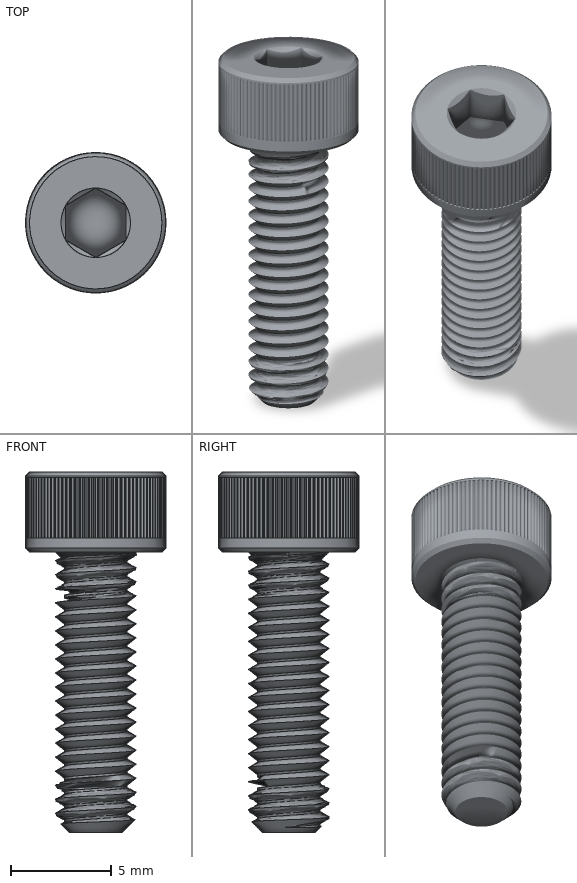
import cadquery as cq
import math

head_diameter = 7.0
head_height = 4.0
head_edge_chamfer = 0.2

knurl_bottom = 0.7
knurl_top = 3.72
knurl_groove_count = 96
knurl_depth = 0.09
knurl_land_share = 0.2

socket_across_flats = 3.0
socket_depth = 2.0

thread_diameter = 4.0
thread_pitch = 0.7
thread_length = 14.0
thread_depth = 0.6134 * thread_pitch
crest_width = thread_pitch / 8
flank_angle = 30.0
tip_chamfer = 0.7
crest_height = -0.127

head_radius = head_diameter / 2
thread_radius = thread_diameter / 2
root_radius = thread_radius - thread_depth
socket_corner_radius = socket_across_flats / math.sqrt(3)


def polar(radius, angle):
    return radius * math.cos(angle), radius * math.sin(angle)


def make_head():
    return cq.Workplane("XY").circle(head_radius).extrude(head_height).edges().chamfer(head_edge_chamfer)


def make_knurl_cutter():
    """Ring that surrounds the head and whose V-shaped teeth cut the knurl grooves."""
    pitch_angle = 2 * math.pi / knurl_groove_count
    half_land = knurl_land_share * pitch_angle / 2
    outline = []
    for index in range(knurl_groove_count):
        groove_center = index * pitch_angle
        land_center = groove_center + pitch_angle / 2
        outline.append(polar(head_radius - knurl_depth, groove_center))
        outline.append(polar(head_radius, land_center - half_land))
        outline.append(polar(head_radius, land_center + half_land))
    height = knurl_top - knurl_bottom
    plane = cq.Workplane("XY").workplane(offset=knurl_bottom)
    ring = plane.circle(head_radius + knurl_depth).extrude(height)
    return ring.cut(plane.polyline(outline).close().extrude(height))


def make_socket():
    """Hexagonal hole with a 45 degree countersink that reaches its corners."""
    hexagon = (
        cq.Workplane("XY")
        .workplane(offset=head_height - socket_depth)
        .transformed(rotate=(0, 0, 90))
        .polygon(6, 2 * socket_corner_radius)
        .extrude(socket_depth)
    )
    tip = cq.Vector(0, 0, head_height - socket_corner_radius)
    countersink = cq.Solid.makeCone(0, socket_corner_radius, socket_corner_radius, pnt=tip)
    return hexagon.union(cq.Workplane(countersink))


def make_thread_groove():
    """Helical groove that runs out past both ends of the shank."""
    overshoot = 0.05
    outer_radius = thread_radius + overshoot
    flank_slope = math.tan(math.radians(flank_angle))
    half_mouth = (thread_pitch - crest_width) / 2
    half_root = half_mouth - thread_depth * flank_slope
    half_outer = half_mouth + overshoot * flank_slope
    extra_turns = 1
    top = crest_height - thread_pitch / 2 + extra_turns * thread_pitch
    turns = math.ceil(thread_length / thread_pitch) + 2 * extra_turns
    start = top - turns * thread_pitch
    helix = cq.Wire.makeHelix(thread_pitch, turns * thread_pitch, root_radius)
    path = cq.Workplane(helix.translate(cq.Vector(0, 0, start)))
    profile = cq.Workplane("XZ").polyline(
        [
            (root_radius, start - half_root),
            (outer_radius, start - half_outer),
            (outer_radius, start + half_outer),
            (root_radius, start + half_root),
        ]
    )
    return profile.close().sweep(path, isFrenet=True)


def make_neck():
    """45 degree cone under the head, where the thread groove stops short."""
    height_above_head_base = 3 * thread_pitch
    cone_size = thread_radius + height_above_head_base
    tip = cq.Vector(0, 0, -thread_radius)
    return cq.Workplane(cq.Solid.makeCone(0, cone_size, cone_size, pnt=tip))


def make_shank():
    """Plain shank below the head, with a chamfered tip."""
    rod = cq.Workplane("XY").circle(thread_radius).extrude(-thread_length)
    return rod.faces("<Z").chamfer(tip_chamfer)


head = make_head().cut(make_knurl_cutter()).cut(make_socket())
thread_groove = make_thread_groove().cut(make_neck())
shank = make_shank().cut(thread_groove)
result = head.union(shank)